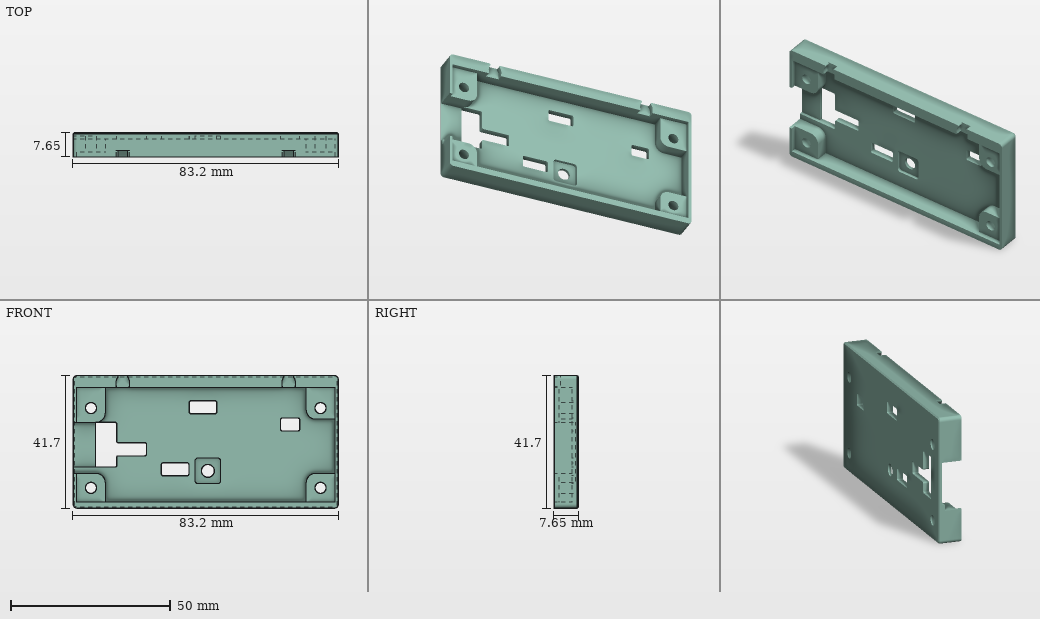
import cadquery as cq


length = 83.2
depth = 7.65
height = 41.7
corner_radius = 1.25
back_chamfer = 0.4

side_wall = 1.0
bottom_wall = 2.0
top_wall = 3.75
floor_y = 5.65
cavity_right = length - side_wall
cavity_top = height - top_wall

boss_width = 9.1
boss_face_y = 1.6
boss_radius = 3.0
lower_boss_top = 11.0
upper_right_boss_bottom = 27.95
screw_hole_diameter = 3.4
screw_inset = 5.6
screw_low_z = 6.4
screw_spacing_z = 25.0

entry_top = 26.95
recess_bottom = 13.0
web_thickness = 1.0
recess_y = depth - web_thickness
web_width = 7.1
window_right = 13.6
arm_right = 22.95
arm_bottom = 16.5
arm_top = 20.5
window_radius = 0.5

window_height = 4.0
windows = [
    (36.4, 29.7, 8.6),
    (27.7, 10.2, 8.6),
    (65.0, 24.3, 6.0),
]

pocket_x = 42.25
pocket_z = 11.7
pocket_size = 8.1
pocket_radius = 1.0
pocket_hole_diameter = 4.0

notch_spacing = 52.05
notch_depth = 2.0
notch_mouth_half = 1.9
notch_neck_half = 1.5
notch_belly_half = 2.2
notch_foot_half = 2.0
lip_height = 0.5
foot_height = 0.25
belly_below_top = 2.25
lip_middle_half = 1.6
lip_middle_drop = 0.2


def block(x_min, x_max, z_min, z_max, y_front, y_back):
    """Box given by its limits."""
    size = (x_max - x_min, y_back - y_front, z_max - z_min)
    return cq.Workplane("XY").box(*size, centered=False).translate((x_min, y_front, z_min))


def hole(x, z, diameter):
    """Cylinder along Y through the whole depth."""
    return cq.Workplane("XZ").center(x, z).circle(diameter / 2).extrude(-depth)


def make_body():
    body = block(0, length, 0, height, 0, depth).edges("|Y").fillet(corner_radius)
    return body.faces(">Y").edges().chamfer(back_chamfer)


def make_bosses():
    left_end = side_wall + boss_width
    right_start = cavity_right - boss_width
    bosses = [
        (side_wall, left_end, bottom_wall, lower_boss_top, ">X and >Z"),
        (right_start, cavity_right, bottom_wall, lower_boss_top, "<X and >Z"),
        (side_wall, left_end, entry_top, cavity_top, ">X and <Z"),
        (right_start, cavity_right, upper_right_boss_bottom, cavity_top, "<X and <Z"),
    ]
    group = cq.Workplane("XY")
    for x_min, x_max, z_min, z_max, rounded_corner in bosses:
        boss = block(x_min, x_max, z_min, z_max, boss_face_y, floor_y)
        group = group.add(boss.edges("|Y").edges(rounded_corner).fillet(boss_radius))
    return group.combine()


def make_cable_entry():
    rim_notch = block(0, side_wall, lower_boss_top, entry_top, 0, floor_y)
    outline = block(-web_width, window_right, recess_bottom, entry_top, floor_y, depth)
    outline = outline.union(block(0, arm_right, arm_bottom, arm_top, floor_y, depth))
    outline = outline.edges("|Y").fillet(window_radius)
    web = block(-web_width, web_width, recess_bottom, entry_top, recess_y, depth)
    return rim_notch.union(outline.cut(web))


def make_window(left, bottom, width):
    window = block(left, left + width, bottom, bottom + window_height, floor_y, depth)
    return window.edges("|Y").fillet(window_radius)


def make_pocket():
    half = pocket_size / 2
    pocket = block(pocket_x - half, pocket_x + half, pocket_z - half, pocket_z + half, floor_y, recess_y)
    return pocket.edges("|Y").fillet(pocket_radius).union(hole(pocket_x, pocket_z, pocket_hole_diameter))


def make_clip_notch(x):
    belly_z = height - belly_below_top
    half_outline = (
        cq.Workplane("XZ")
        .moveTo(0, height)
        .lineTo(notch_mouth_half, height)
        .threePointArc(
            (lip_middle_half, height - lip_middle_drop),
            (notch_neck_half, height - lip_height),
        )
        .threePointArc((notch_belly_half, belly_z), (notch_foot_half, cavity_top + foot_height))
        .lineTo(notch_belly_half, cavity_top)
        .lineTo(0, cavity_top)
        .close()
    )
    half_notch = half_outline.extrude(-notch_depth)
    return half_notch.union(half_notch.mirror("YZ")).translate((x, 0, 0))


result = make_body()
result = result.cut(block(side_wall, cavity_right, bottom_wall, cavity_top, 0, floor_y))
result = result.union(make_bosses())
result = result.cut(make_cable_entry())
result = result.cut(make_pocket())

for window_left, window_bottom, window_width in windows:
    result = result.cut(make_window(window_left, window_bottom, window_width))

for screw_x in (screw_inset, length - screw_inset):
    for screw_z in (screw_low_z, screw_low_z + screw_spacing_z):
        result = result.cut(hole(screw_x, screw_z, screw_hole_diameter))

for direction in (-1, 1):
    result = result.cut(make_clip_notch(length / 2 + direction * notch_spacing / 2))

result = result.translate((-length / 2, -depth / 2, -height / 2))